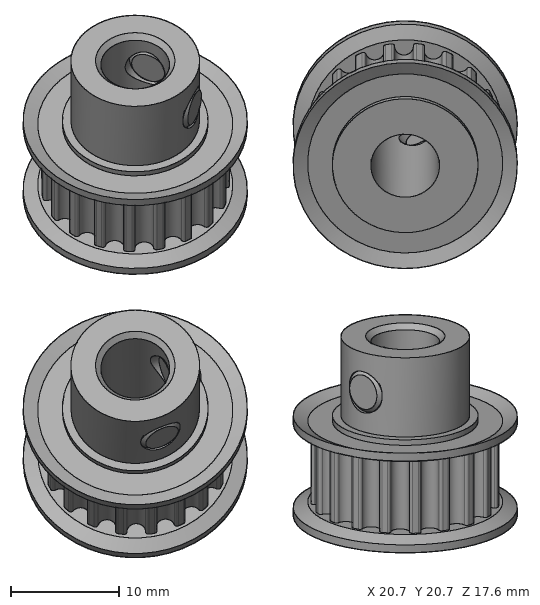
import cadquery as cq
import math

total_height = 17.55
body_height = 9.8

flange_radius = 10.35
flange_flat_radius = 9.0
flange_thickness = 0.79
flange_dish = 0.54

tooth_count = 19
tooth_radius = 8.7
tooth_phase = -0.3
tooth_edge_radius = 0.27
land_width = 0.54
groove_centre_radius = 8.35

collar_radius = 6.73
hub_radius = 5.95
bore_radius = 3.17
bore_chamfer = 0.5

screw_radius = 2.0
screw_chamfer = 0.35
screw_inner_end = bore_radius
screw_outer_end = hub_radius
screw_height = (body_height + total_height) / 2


def cylinder(radius, bottom, top):
    return cq.Workplane("XY").workplane(offset=bottom).circle(radius).extrude(top - bottom)


def polar(radius, angle):
    """Point at a radius and an angle in radians, measured from -Y towards +X."""
    return (radius * math.sin(angle), -radius * math.cos(angle))


def toothed_section():
    """Prism with round-bottomed grooves blended into the tooth tips."""
    pitch = 2 * math.pi / tooth_count
    half_land = land_width / tooth_radius / 2
    edge_centre_radius = tooth_radius - tooth_edge_radius
    half_gap = pitch / 2 - half_land

    edge_to_groove = math.sqrt(
        edge_centre_radius**2
        + groove_centre_radius**2
        - 2 * edge_centre_radius * groove_centre_radius * math.cos(half_gap)
    )
    groove_radius = edge_to_groove - tooth_edge_radius
    groove_floor = groove_centre_radius - groove_radius

    def edge_points(groove_angle, side):
        """Tip, middle and groove ends of the edge arc on one side of a groove."""
        edge_angle = groove_angle + side * half_gap
        centre = polar(edge_centre_radius, edge_angle)
        groove_centre = polar(groove_centre_radius, groove_angle)
        tip = polar(tooth_radius, edge_angle)
        blend = tooth_edge_radius / edge_to_groove
        root = tuple(c + (g - c) * blend for c, g in zip(centre, groove_centre))
        bisector = [t + r - 2 * c for t, r, c in zip(tip, root, centre)]
        reach = tooth_edge_radius / math.hypot(*bisector)
        middle = tuple(c + b * reach for c, b in zip(centre, bisector))
        return tip, middle, root

    first_tooth = math.radians(tooth_phase)
    outline = cq.Workplane("XY").workplane(offset=flange_dish)
    outline = outline.moveTo(*polar(tooth_radius, first_tooth - half_land))
    for index in range(tooth_count):
        tooth_angle = first_tooth + index * pitch
        groove_angle = tooth_angle + pitch / 2
        tip_in, middle_in, root_in = edge_points(groove_angle, -1)
        tip_out, middle_out, root_out = edge_points(groove_angle, 1)
        outline = outline.threePointArc(polar(tooth_radius, tooth_angle), tip_in)
        outline = outline.threePointArc(middle_in, root_in)
        outline = outline.threePointArc(polar(groove_floor, groove_angle), root_out)
        outline = outline.threePointArc(middle_out, tip_out)
    return outline.close().extrude(body_height - 2 * flange_dish)


def lower_flange():
    """Flange with its rim on Z = 0 and its middle dished upwards."""
    profile = [
        (0, flange_dish),
        (flange_flat_radius, flange_dish),
        (flange_radius, 0),
        (flange_radius, flange_thickness),
        (flange_flat_radius, flange_thickness + flange_dish),
        (0, flange_thickness + flange_dish),
    ]
    return cq.Workplane("XZ").polyline(profile).close().revolve(360, (0, 0), (0, 1))


def upper_flange():
    return lower_flange().mirror("XY").translate((0, 0, body_height))


def bore():
    """Through bore with a chamfered mouth at the hub end."""
    profile = [
        (0, 0),
        (bore_radius, 0),
        (bore_radius, total_height - bore_chamfer),
        (bore_radius + bore_chamfer, total_height),
        (0, total_height),
    ]
    return cq.Workplane("XZ").polyline(profile).close().revolve(360, (0, 0), (0, 1))


def along_x(radius, start, end):
    """Cylinder along +X at the height of the set screws."""
    section = cq.Workplane("YZ", origin=(start, 0, screw_height))
    return section.circle(radius).extrude(end - start)


def add_set_screw(body, turn):
    """Radial hole, filled by a screw chamfered at both ends."""
    hole = along_x(screw_radius, 0, hub_radius)
    screw = along_x(screw_radius, screw_inner_end, screw_outer_end)
    screw = screw.faces("<X or >X").chamfer(screw_chamfer)
    hole, screw = (shape.rotate((0, 0, 0), (0, 0, 1), turn) for shape in (hole, screw))
    return body.cut(hole).union(screw)


result = toothed_section()
result = result.union(lower_flange())
result = result.union(upper_flange())
result = result.union(cylinder(collar_radius, 0, body_height))
result = result.union(cylinder(hub_radius, 0, total_height))
result = result.cut(bore())
for screw_turn in (0, 90):
    result = add_set_screw(result, screw_turn)